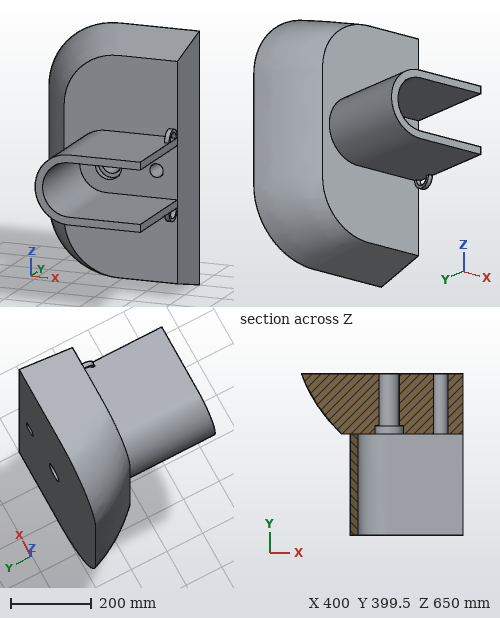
import cadquery as cq


block_depth = 149.5
front_width = 300.0
middle_width = 363.0
back_width = 400.0
front_half_height = 285.0
back_half_height = 325.0
middle_half_height = (front_half_height + back_half_height) / 2
side_half_height = 145.5
front_top_length = 156.0
middle_top_length = 191.0
back_top_length = 211.0

large_hole_x = -182.5
large_hole_radius = 25.0
counterbore_radius = 35.0
counterbore_depth = 20.0
small_hole_x = -55.0
small_hole_radius = 17.5

bracket_length = 250.0
bracket_radius = 90.0
bracket_wall = 20.0
bracket_arc_x = -190.0

ring_radius = 28.0
ring_inner_radius = 20.0
ring_width = 12.5


def block_outline(y, width, half_height, top_length):
    """Closed outline at depth y: two elliptical corners joined by straight edges."""
    radius_x = width - top_length
    radius_z = half_height - side_half_height
    forward = cq.Vector(0, -1, 0)
    right = cq.Vector(1, 0, 0)

    def corner(center_z, start_angle, end_angle):
        center = cq.Vector(-top_length, y, center_z)
        return cq.Edge.makeEllipse(
            radius_x, radius_z, center, forward, right, start_angle, end_angle
        )

    def straight(x1, z1, x2, z2):
        return cq.Edge.makeLine(cq.Vector(x1, y, z1), cq.Vector(x2, y, z2))

    return cq.Wire.assembleEdges([
        straight(0, half_height, -top_length, half_height),
        corner(side_half_height, 90, 180),
        straight(-width, side_half_height, -width, -side_half_height),
        corner(-side_half_height, 180, 270),
        straight(-top_length, -half_height, 0, -half_height),
        straight(0, -half_height, 0, half_height),
    ])


def cylinder_from_front(x, radius, depth):
    """Cylinder running from the front face into the block, centred on Z = 0."""
    return cq.Solid.makeCylinder(radius, depth, cq.Vector(x, 0, 0), cq.Vector(0, 1, 0))


def make_block():
    outlines = [
        block_outline(0, front_width, front_half_height, front_top_length),
        block_outline(block_depth / 2, middle_width, middle_half_height, middle_top_length),
        block_outline(block_depth, back_width, back_half_height, back_top_length),
    ]
    return (
        cq.Workplane(cq.Solid.makeLoft(outlines))
        .cut(cylinder_from_front(large_hole_x, large_hole_radius, block_depth))
        .cut(cylinder_from_front(large_hole_x, counterbore_radius, counterbore_depth))
        .cut(cylinder_from_front(small_hole_x, small_hole_radius, block_depth))
    )


def rounded_bar(radius):
    """Bar with one round end, reaching forward from the front face."""
    return (
        cq.Workplane("XZ")
        .moveTo(0, radius)
        .lineTo(bracket_arc_x, radius)
        .threePointArc((bracket_arc_x - radius, 0), (bracket_arc_x, -radius))
        .lineTo(0, -radius)
        .close()
        .extrude(bracket_length)
    )


def make_bracket():
    return rounded_bar(bracket_radius).cut(rounded_bar(bracket_radius - bracket_wall))


def make_half_ring(side):
    """Half ring on the upper (side = 1) or lower (side = -1) face of the bracket."""
    return (
        cq.Workplane("YZ", origin=(-ring_width, -ring_radius, side * bracket_radius))
        .moveTo(-ring_radius, 0)
        .threePointArc((0, side * ring_radius), (ring_radius, 0))
        .lineTo(ring_inner_radius, 0)
        .threePointArc((0, side * ring_inner_radius), (-ring_inner_radius, 0))
        .close()
        .extrude(ring_width)
    )


block = make_block()
bracket = make_bracket()
half_rings = [make_half_ring(side) for side in (1, -1)]

result = cq.Compound.makeCompound(
    [block.val(), bracket.val(), *[ring.val() for ring in half_rings]]
)